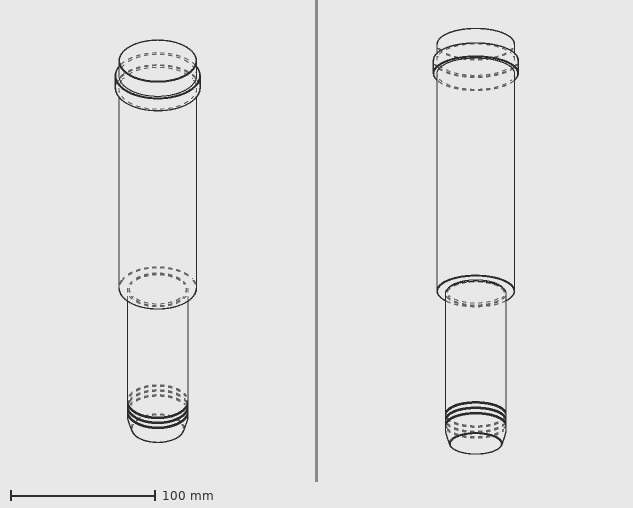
import cadquery as cq

length = 303.0

edge_chamfer = 0.45

body_radius = 54.0 / 2
body_bottom = 115.5
collar_radius = 59.0 / 2
collar_top = 291.0
collar_height = 10.5

shank_radius = 42.0 / 2
undercut_depth = 1.2
undercut_height = 1.5

groove_depth = 0.45
groove_width = 1.0
groove_count = 3
lowest_groove_bottom = 13.5
highest_groove_bottom = 21.8
groove_pitch = (highest_groove_bottom - lowest_groove_bottom) / (groove_count - 1)

tip_height = 10.0
tip_radius = 18.2
tip_bulge = 0.15


def cylinder(radius, bottom, height):
    return cq.Workplane("XY").workplane(offset=bottom).circle(radius).extrude(height)


def shank_groove(depth, bottom, height):
    """Ring of material to remove from the shank surface."""
    return cylinder(shank_radius, bottom, height).cut(cylinder(shank_radius - depth, bottom, height))


def shank_with_tip():
    """Revolved half profile whose tip flank is a shallow outward arc."""
    flank_middle = ((tip_radius + shank_radius) / 2 + tip_bulge, tip_height / 2)
    return (
        cq.Workplane("XZ")
        .lineTo(tip_radius, 0)
        .threePointArc(flank_middle, (shank_radius, tip_height))
        .lineTo(shank_radius, body_bottom)
        .lineTo(0, body_bottom)
        .close()
        .revolve(360, (0, 0, 0), (0, 1, 0))
        .faces("<Z")
        .chamfer(edge_chamfer)
    )


body = cylinder(body_radius, body_bottom, length - body_bottom)
body = body.faces("<Z or >Z").chamfer(edge_chamfer)

collar = cylinder(collar_radius, collar_top - collar_height, collar_height)
collar = collar.faces("<Z or >Z").chamfer(edge_chamfer)

shank = shank_with_tip()
shank = shank.cut(shank_groove(undercut_depth, body_bottom - undercut_height, undercut_height))
for index in range(groove_count):
    groove_bottom = lowest_groove_bottom + index * groove_pitch
    shank = shank.cut(shank_groove(groove_depth, groove_bottom, groove_width))

result = body.union(collar).union(shank)